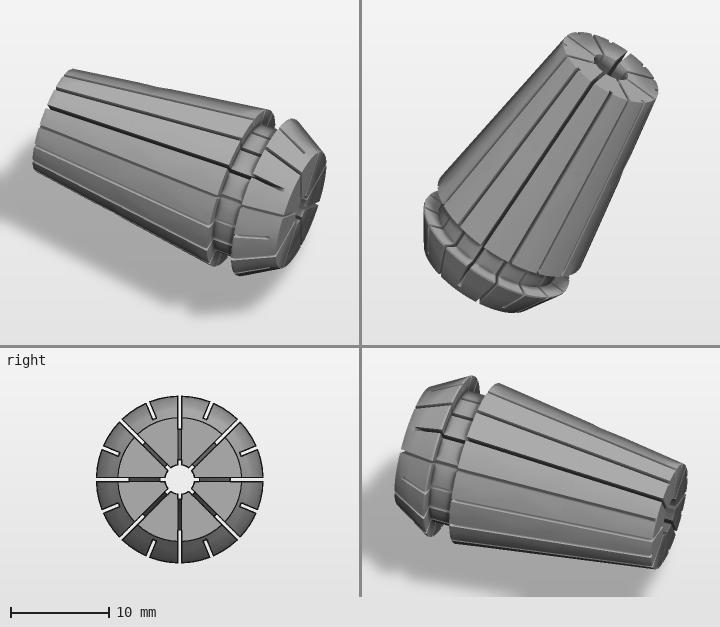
import cadquery as cq
import math


length = 27.5
max_radius = 8.5
taper_angle = 8.0
nose_angle = 30.0
groove_start = 20.8
groove_width = 2.7
groove_radius = 6.9
rim_width = 0.2

groove_end = groove_start + groove_width
nose_start = groove_end + rim_width
tail_radius = max_radius - groove_start * math.tan(math.radians(taper_angle))
nose_radius = max_radius - (length - nose_start) * math.tan(math.radians(nose_angle))

bore_radius = 1.5
relief_radius = 2.0
relief_depth = 10.0

slots_per_end = 8
slot_width = 0.4
slot_pitch = 360.0 / slots_per_end
nose_slot_arc_radius = 20.0
nose_slot_exit_radius = 5.15
tail_slot_arc_radius = 35.0
tail_slot_end = 26.8


def arc_run(arc_radius, height):
    """Distance along the axis over which a tangent arc rises to the given height."""
    return math.sqrt(2 * arc_radius * height - height**2)


def make_body():
    """Turned outside with the taper, the extraction groove and the nose cone."""
    outline = [
        (0, 0),
        (0, tail_radius),
        (groove_start, max_radius),
        (groove_start, groove_radius),
        (groove_end, groove_radius),
        (groove_end, max_radius),
        (nose_start, max_radius),
        (length, nose_radius),
        (length, 0),
    ]
    profile = cq.Workplane("XY").polyline(outline).close()
    return profile.revolve(360, (0, 0, 0), (1, 0, 0))


def make_bore():
    """Through bore with a wider relief at the small end."""
    grip = cq.Workplane("YZ").circle(bore_radius).extrude(length)
    relief = cq.Workplane("YZ").circle(relief_radius).extrude(relief_depth)
    return grip.union(relief)


def make_slot(open_end, tangent_x, arc_radius):
    """Thin cutter open at one end of the part, its floor curving outward at the other."""
    direction = 1 if tangent_x > open_end else -1
    arc_height = max_radius
    mid_height = arc_height / 2
    arc_mid = (tangent_x + direction * arc_run(arc_radius, mid_height), mid_height)
    arc_end = (tangent_x + direction * arc_run(arc_radius, arc_height), arc_height)
    side = (
        cq.Workplane("XY")
        .moveTo(open_end, 0)
        .lineTo(tangent_x, 0)
        .threePointArc(arc_mid, arc_end)
        .lineTo(open_end, arc_height)
        .close()
    )
    return side.extrude(slot_width / 2, both=True)


def cut_slots(body):
    """Nose slots and tail slots alternate around the axis."""
    nose_tangent_x = arc_run(nose_slot_arc_radius, nose_slot_exit_radius)
    nose_slot = make_slot(length, nose_tangent_x, nose_slot_arc_radius)

    tail_exit_radius = max_radius - (tail_slot_end - nose_start) * math.tan(math.radians(nose_angle))
    tail_tangent_x = tail_slot_end - arc_run(tail_slot_arc_radius, tail_exit_radius)
    tail_slot = make_slot(0, tail_tangent_x, tail_slot_arc_radius)

    for index in range(slots_per_end):
        angle = index * slot_pitch
        body = body.cut(nose_slot.rotate((0, 0, 0), (1, 0, 0), angle))
        body = body.cut(tail_slot.rotate((0, 0, 0), (1, 0, 0), angle + slot_pitch / 2))
    return body


result = cut_slots(make_body().cut(make_bore()))